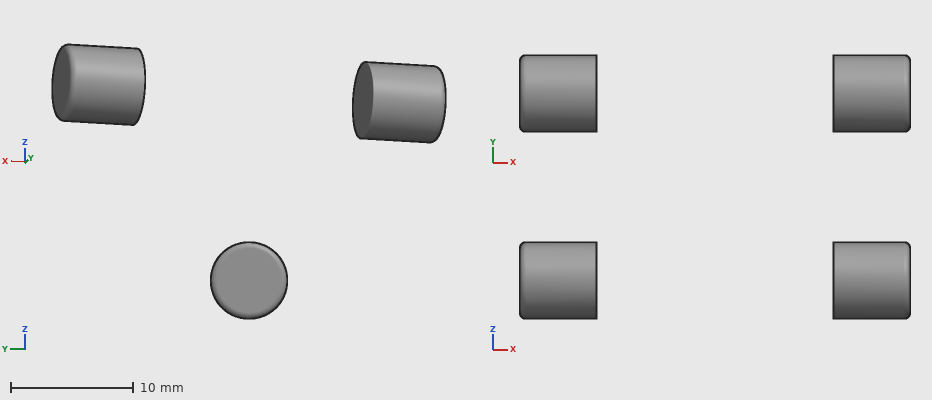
import cadquery as cq

overall_length = 32.0
plug_diameter = 6.3
plug_length = 6.3
outer_rim_radius = 0.5
inner_rim_radius = 0.05


def make_plug(side):
    """Plug on the +X (side = 1) or -X (side = -1) end, with both rims rounded."""
    inner_face_x = side * (overall_length / 2 - plug_length)
    outer_face, inner_face = (">X", "<X") if side > 0 else ("<X", ">X")
    plug = (
        cq.Workplane("YZ", origin=(inner_face_x, 0, 0))
        .circle(plug_diameter / 2)
        .extrude(side * plug_length)
    )
    plug = plug.faces(outer_face).edges().fillet(outer_rim_radius)
    return plug.faces(inner_face).edges().fillet(inner_rim_radius)


plugs = [make_plug(side) for side in (-1, 1)]

result = cq.Compound.makeCompound([plug.val() for plug in plugs])